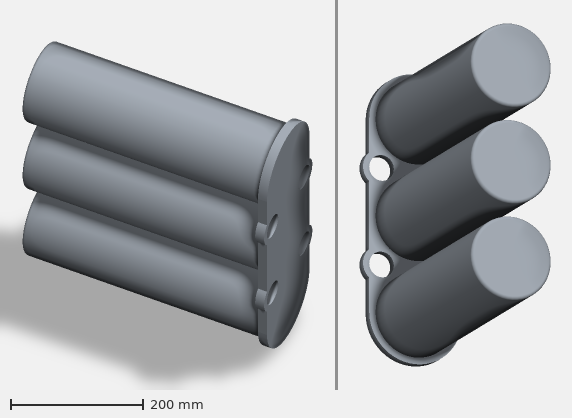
import cadquery as cq

total_length = 415.0
plate_thickness = 15.0
plate_half_width = 75.12
tube_pitch = 150.0
tube_count = 3

tube_diameter = 129.48
tube_tip_fillet = 5.0

hole_diameter = 39.83
ear_span = 170.24
ear_radius = 30.0
hole_offset_y = ear_span / 2 - ear_radius

tube_length = total_length - plate_thickness
tube_span = (tube_count - 1) * tube_pitch
tube_heights = [i * tube_pitch - tube_span / 2 for i in range(tube_count)]
hole_heights = [z + tube_pitch / 2 for z in tube_heights[:-1]]
hole_centers = [(side * hole_offset_y, z) for side in (-1, 1) for z in hole_heights]


def plate_face():
    """Sketch plane on the -X face of the plate: local axes are Y and Z."""
    return cq.Workplane("YZ")


def make_plate():
    """Obround plate with ears, drilled through at every ear."""
    plate_width = 2 * plate_half_width
    plate = (
        plate_face()
        .slot2D(tube_span + plate_width, plate_width, 90)
        .extrude(plate_thickness)
    )
    ears = plate_face().pushPoints(hole_centers).circle(ear_radius).extrude(plate_thickness)
    holes = (
        plate_face()
        .pushPoints(hole_centers)
        .circle(hole_diameter / 2)
        .extrude(plate_thickness)
    )
    return plate.union(ears).cut(holes)


def make_tube(height):
    """Cylinder reaching from the plate towards -X, with a rounded tip."""
    return (
        plate_face()
        .center(0, height)
        .circle(tube_diameter / 2)
        .extrude(-tube_length)
        .faces("<X")
        .edges()
        .fillet(tube_tip_fillet)
    )


housing = make_plate()
for tube_height in tube_heights:
    housing = housing.union(make_tube(tube_height))

result = cq.Compound.makeCompound([housing.val()])